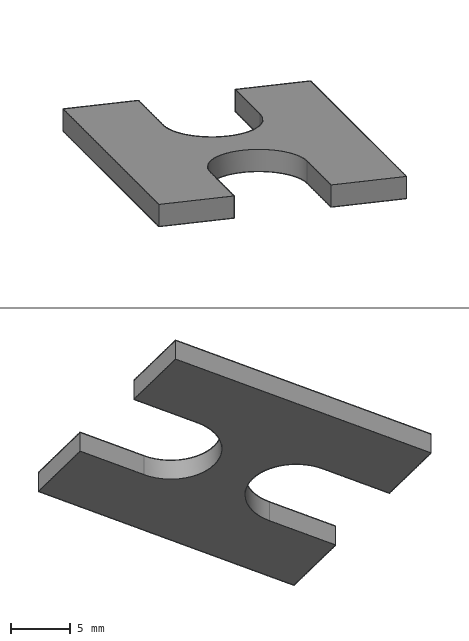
import cadquery as cq

length = 25.4
width = 22.1
thickness = 2.0

slot_width = 8.636
left_slot_depth = 10.922
right_slot_depth = 10.668


def open_slot(edge_x, depth, inward):
    """Slot cutter running from an X edge to a round end; inward is +1 or -1 along X."""
    radius = slot_width / 2
    tip_x = edge_x + inward * depth
    arc_x = tip_x - inward * radius
    return (
        cq.Workplane("XY")
        .moveTo(edge_x, -radius)
        .lineTo(arc_x, -radius)
        .threePointArc((tip_x, 0), (arc_x, radius))
        .lineTo(edge_x, radius)
        .close()
        .extrude(thickness)
    )


plate = cq.Workplane("XY").box(length, width, thickness, centered=(True, True, False))
left_slot = open_slot(-length / 2, left_slot_depth, 1)
right_slot = open_slot(length / 2, right_slot_depth, -1)

result = plate.cut(left_slot).cut(right_slot)